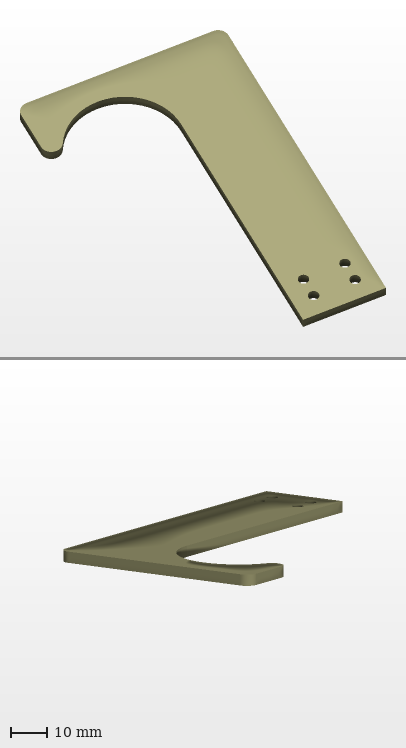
import cadquery as cq
import math

length = 101.6
depth = 63.5
thickness = 3.1
arm_width = 25.4
corner_radius = 3.1

throat_radius = 17.2
throat_x = 25.4
arm_bottom = depth - arm_width
throat_y = arm_bottom - throat_radius

tip_radius = 3.1
center_distance = throat_radius + tip_radius
tip_y = tip_radius
tip_x = throat_x - math.sqrt(center_distance**2 - (throat_y - tip_y) ** 2)

hole_diameter = 3.1
hole_end_offset = arm_width / 4
hole_pitch_x = arm_width / 4
hole_pitch_y = arm_width / 2


def point_on_circle(x, y, radius, angle):
    return (x + radius * math.cos(angle), y + radius * math.sin(angle))


def make_plate():
    tangent_angle = math.atan2(tip_y - throat_y, tip_x - throat_x)
    tangent_point = point_on_circle(throat_x, throat_y, throat_radius, tangent_angle)
    tip_end = (tip_x + tip_radius, tip_y)
    return (
        cq.Workplane("XY")
        .moveTo(0, 0)
        .lineTo(tip_x, 0)
        .threePointArc(tip_end, tangent_point)
        .threePointArc((throat_x - throat_radius, throat_y), (throat_x, arm_bottom))
        .lineTo(length, arm_bottom)
        .lineTo(length, depth)
        .lineTo(0, depth)
        .close()
        .extrude(thickness)
    )


def round_left_corners(plate):
    return plate.faces("<X").edges("|Z").fillet(corner_radius)


def drill_mounting_holes(plate):
    pattern_x = length - hole_end_offset - hole_pitch_x / 2
    pattern_y = depth - arm_width / 2
    holes = (
        cq.Workplane("XY")
        .center(pattern_x, pattern_y)
        .rarray(hole_pitch_x, hole_pitch_y, 2, 2)
        .circle(hole_diameter / 2)
        .extrude(thickness)
    )
    return plate.cut(holes)


result = drill_mounting_holes(round_left_corners(make_plate()))